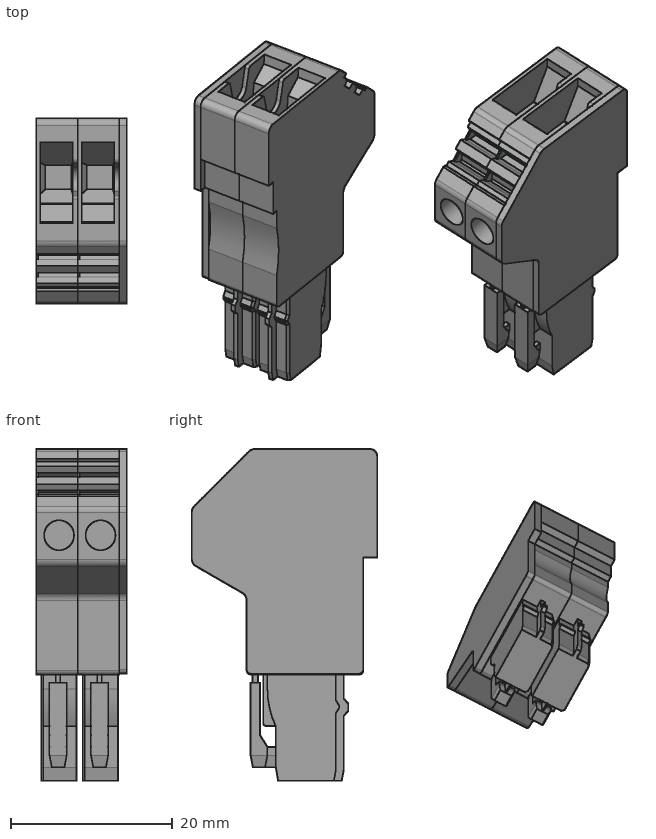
import cadquery as cq
import math


TOTAL_WIDTH = 11.2
TOTAL_DEPTH = 22.9
TOTAL_HEIGHT = 41.0
POLE_COUNT = 2
PITCH = 5.12
PLATE_WIDTH = TOTAL_WIDTH - POLE_COUNT * PITCH

CHAMFER = 7.4
FRONT_BOTTOM_Z = 26.8
NECK_FRONT_Y = 6.75
NECK_SLOPE = math.radians(30)
NECK_TOP_Z = FRONT_BOTTOM_Z - NECK_FRONT_Y * math.tan(NECK_SLOPE)
NECK_BACK_Y = 21.2
BACK_STEP_Z = 27.6
POLE_BOTTOM_Z = 13.1
PLATE_BOTTOM_Z = 13.25
FRONT_RADIUS = 1.02
BACK_RADIUS = 0.9
BOTTOM_RADIUS = 0.57

BACK_NOTCH_TOP_Z = 32.3
BACK_NOTCH_DEPTH = 0.95
HOLLOW_TOP_Z = 25.05
HOLLOW_BOTTOM_Z = 18.05
HOLLOW_DEPTH = 0.4

STRIP_START = 2.4
STRIP_END = 8.7
STRIP_DEPTH = 0.55
STRIP_LIP = 0.265
GROOVE_STARTS = (3.05, 6.1)
GROOVE_MOUTH = 1.8
GROOVE_FLOOR = 1.3
GROOVE_DEPTH = 1.4
POCKET_WALL = 0.265
POCKET_DEEP_POINTS = (
    ((4.35, 34.2), (4.6, 34.45), (4.6, 35.65)),
    ((6.15, 36.8), (7.18, 36.8), (7.6, 37.23)),
)

HOLE_DIAMETER = 3.7
HOLE_X = 2.83
HOLE_Z = 30.35
HOLE_DEPTH = 8.2

WINDOW_LEFT_X = 0.55
WINDOW_RIGHT_X = 4.5
WINDOW_FRONT_Y = 9.95
WINDOW_BACK_Y = 19.95
WINDOW_RIM = 1.3
LEDGE_FRONT_Y = 10.13
LEDGE_BACK_Y = 12.25
LEDGE_STEP_Y = 12.42
LEDGE_FALL = 1.6
FLOOR_LEFT_X = 1.15
FLOOR_RIGHT_X = 4.35
FLOOR_FRONT_Y = 14.15
FLOOR_BACK_Y = 17.1
BACK_SLOPE = math.radians(60)
WELL_DEPTH = 0.57
FLOOR_Z = TOTAL_HEIGHT - WINDOW_RIM - (WINDOW_BACK_Y - FLOOR_BACK_Y) * math.tan(BACK_SLOPE)

CUTOUT_Y = 15.38
CUTOUT_DEPTH = 3.9
CUTOUT_RADIUS = 1.5
CUTOUT_DRAFT = math.radians(13)
CUTOUT_LIP_RADIUS = 0.4

THIN_LEFT_X = 2.4
THIN_RIGHT_X = 3.0

LEG_LEFT_X = 0.6
LEG_RIGHT_X = 5.0
LEG_BEVEL = 0.3
LEG_FRONT_Y = 9.35
LEG_LOWER_FRONT_Y = 10.37
LEG_TIP_FRONT_Y = 10.65
LEG_BACK_Y = 17.8
LEG_BUMP_Y = 18.2
LEG_CURVE_TOP_Z = 11.4
LEG_CURVE_BOTTOM_Z = 6.75
LEG_FRONT_TAPER_Z = 1.7
BACK_TAPER = 0.25
BACK_TAPER_Z = 1.27
LEG_BUMP_LEVELS = (8.35, 9.0, 9.3, 9.95)
RAIL_BACK_Y = 18.78
RAIL_BUMP_Y = 19.35
RAIL_BUMP_LEVELS = (8.05, 8.65, 9.55, 10.15)

LATCH_LEFT_X = 1.65
LATCH_RIGHT_X = 3.77
LATCH_FRONT_Y = 7.25
LATCH_BACK_Y = 8.45
LATCH_TOP_Z = 12.15
LATCH_BOTTOM_Z = 1.7
LATCH_TAPER_Z = 3.2
LATCH_TAPER = 0.3
HOOK_BACK_Y = 9.35
HOOK_TOP_Z = 4.22
HOOK_SLOPE_TOP_Z = 5.65
STUB_FRONT_Y = 7.5
STUB_BACK_Y = 8.2
RIB_FRONT_Y = 8.8
RIB_RADIUS = 0.4
WEB_TAPER = 0.225


def box(x0, x1, y0, y1, z0, z1):
    return cq.Workplane("XY").box(x1 - x0, y1 - y0, z1 - z0, centered=False).translate((x0, y0, z0))


def side_prism(points, x0, x1):
    """Prism along X over a closed outline of (y, z) points."""
    return cq.Workplane("YZ").polyline(points).close().extrude(x1 - x0).translate((x0, 0, 0))


def slope_point(along, depth):
    """(y, z) of a point given along the 45 degree slope and square into it."""
    half = math.sqrt(0.5)
    return ((along + depth) * half, TOTAL_HEIGHT - CHAMFER + (along - depth) * half)


def housing_block(width, bottom_z):
    """Rounded side outline extruded along X from x = 0."""
    slope_top = (CHAMFER, TOTAL_HEIGHT)
    slope_bottom = (0, TOTAL_HEIGHT - CHAMFER)
    front_bottom = (0, FRONT_BOTTOM_Z)
    neck_top = (NECK_FRONT_Y, NECK_TOP_Z)
    neck_bottom = (NECK_FRONT_Y, bottom_z)
    back_bottom = (NECK_BACK_Y, bottom_z)
    back_top = (TOTAL_DEPTH, TOTAL_HEIGHT)
    outline = [
        slope_top,
        slope_bottom,
        front_bottom,
        neck_top,
        neck_bottom,
        back_bottom,
        (NECK_BACK_Y, BACK_STEP_Z),
        (TOTAL_DEPTH, BACK_STEP_Z),
        back_top,
    ]
    block = side_prism(outline, 0, width)
    roundings = [
        (FRONT_RADIUS, [slope_top, slope_bottom, front_bottom, neck_top]),
        (BACK_RADIUS, [back_top]),
        (BOTTOM_RADIUS, [neck_bottom, back_bottom]),
    ]
    for radius, corners in roundings:
        for y, z in corners:
            edge = cq.selectors.NearestToPointSelector((width / 2, y, z))
            block = block.edges(edge).fillet(radius)
    return block


def back_recesses():
    """Square notch in the upper back and shallow hollow in the neck."""
    notch = box(
        0, PITCH, TOTAL_DEPTH - BACK_NOTCH_DEPTH, TOTAL_DEPTH, BACK_STEP_Z, BACK_NOTCH_TOP_Z
    )
    hollow = (
        cq.Workplane("YZ")
        .moveTo(NECK_BACK_Y, HOLLOW_BOTTOM_Z)
        .threePointArc(
            (NECK_BACK_Y - HOLLOW_DEPTH, (HOLLOW_BOTTOM_Z + HOLLOW_TOP_Z) / 2),
            (NECK_BACK_Y, HOLLOW_TOP_Z),
        )
        .close()
        .extrude(PITCH)
    )
    return notch.union(hollow)


def grip_recess():
    """Sunk strip with its two grooves, running the whole width of the pole."""
    strip_corners = [
        (STRIP_START - STRIP_LIP, 0),
        (STRIP_START, STRIP_LIP),
        (STRIP_START, STRIP_DEPTH),
        (STRIP_END, STRIP_DEPTH),
        (STRIP_END, 0),
    ]
    recess = side_prism([slope_point(*corner) for corner in strip_corners], 0, PITCH)
    side = (GROOVE_MOUTH - GROOVE_FLOOR) / 2
    for start in GROOVE_STARTS:
        groove_corners = [
            (start, STRIP_DEPTH),
            (start + side, GROOVE_DEPTH),
            (start + side + GROOVE_FLOOR, GROOVE_DEPTH),
            (start + GROOVE_MOUTH, STRIP_DEPTH),
        ]
        recess = recess.union(side_prism([slope_point(*c) for c in groove_corners], 0, PITCH))
    return recess


def groove_pockets():
    """Pockets below the groove floors, reached through the grooves and open to the right."""
    side = (GROOVE_MOUTH - GROOVE_FLOOR) / 2
    pockets = cq.Workplane("YZ")
    for start, deep_points in zip(GROOVE_STARTS, POCKET_DEEP_POINTS):
        floor_start = start + side
        floor_end = floor_start + GROOVE_FLOOR
        outline = [
            slope_point(floor_start, STRIP_DEPTH),
            slope_point(floor_start, GROOVE_DEPTH),
            *deep_points,
            slope_point(floor_end, GROOVE_DEPTH),
            slope_point(floor_end, STRIP_DEPTH),
        ]
        pockets = pockets.add(side_prism(outline, POCKET_WALL, PITCH))
    return pockets.combine()


def wire_hole():
    """Blind round hole in the front face."""
    return cq.Workplane("XZ").center(HOLE_X, HOLE_Z).circle(HOLE_DIAMETER / 2).extrude(-HOLE_DEPTH)


def window():
    """Stepped funnel open at the top, ending in a small well with sloping sides."""
    rim_z = TOTAL_HEIGHT - WINDOW_RIM
    well_z = FLOOR_Z + WELL_DEPTH
    well_front_y = FLOOR_FRONT_Y - WELL_DEPTH
    well_back_y = FLOOR_BACK_Y + WELL_DEPTH / math.tan(BACK_SLOPE)
    outline = [
        (WINDOW_FRONT_Y, TOTAL_HEIGHT),
        (LEDGE_FRONT_Y, rim_z),
        (LEDGE_BACK_Y, rim_z - LEDGE_FALL),
        (LEDGE_STEP_Y, FLOOR_Z + FLOOR_FRONT_Y - LEDGE_STEP_Y),
        (well_front_y, well_z),
        (well_back_y, well_z),
        (WINDOW_BACK_Y, rim_z),
        (WINDOW_BACK_Y, TOTAL_HEIGHT),
    ]
    funnel = side_prism(outline, WINDOW_LEFT_X, WINDOW_RIGHT_X)
    floor_width = FLOOR_RIGHT_X - FLOOR_LEFT_X
    floor_depth = FLOOR_BACK_Y - FLOOR_FRONT_Y
    well_width = WINDOW_RIGHT_X - WINDOW_LEFT_X
    well_depth = well_back_y - well_front_y
    floor_centre = (FLOOR_LEFT_X + floor_width / 2, FLOOR_FRONT_Y + floor_depth / 2)
    well_centre = (WINDOW_LEFT_X + well_width / 2, well_front_y + well_depth / 2)
    well = (
        cq.Workplane("XY", origin=(0, 0, FLOOR_Z))
        .center(*floor_centre)
        .rect(floor_width, floor_depth)
        .workplane(offset=WELL_DEPTH)
        .center(well_centre[0] - floor_centre[0], well_centre[1] - floor_centre[1])
        .rect(well_width, well_depth)
        .loft(ruled=True)
    )
    return funnel.union(well)


def wall_cutout():
    """U-shaped cut-out with drafted sides and rounded lips, through the wall right of the window."""
    centre_z = TOTAL_HEIGHT - CUTOUT_DEPTH + CUTOUT_RADIUS
    arc_y = CUTOUT_RADIUS * math.cos(CUTOUT_DRAFT)
    arc_z = centre_z - CUTOUT_RADIUS * math.sin(CUTOUT_DRAFT)
    mouth = arc_y + (TOTAL_HEIGHT - arc_z) * math.tan(CUTOUT_DRAFT)
    setback = CUTOUT_LIP_RADIUS * math.tan((math.pi / 2 - CUTOUT_DRAFT) / 2)
    lip_y = mouth - setback * math.sin(CUTOUT_DRAFT)
    lip_z = TOTAL_HEIGHT - setback * math.cos(CUTOUT_DRAFT)
    lip_centre = (mouth + setback, TOTAL_HEIGHT - CUTOUT_LIP_RADIUS)
    lip_angle = (math.pi / 2 - CUTOUT_DRAFT) / 2 + CUTOUT_DRAFT
    lip_mid_y = lip_centre[0] - CUTOUT_LIP_RADIUS * math.cos(lip_angle)
    lip_mid_z = lip_centre[1] + CUTOUT_LIP_RADIUS * math.sin(lip_angle)
    return (
        cq.Workplane("YZ", origin=(WINDOW_RIGHT_X, CUTOUT_Y, 0))
        .moveTo(-mouth - setback, TOTAL_HEIGHT)
        .threePointArc((-lip_mid_y, lip_mid_z), (-lip_y, lip_z))
        .lineTo(-arc_y, arc_z)
        .threePointArc((0, centre_z - CUTOUT_RADIUS), (arc_y, arc_z))
        .lineTo(lip_y, lip_z)
        .threePointArc((lip_mid_y, lip_mid_z), (mouth + setback, TOTAL_HEIGHT))
        .close()
        .extrude(PITCH - WINDOW_RIGHT_X)
    )


def bumped_back(back_y, bump_y, levels):
    """(y, z) points of a back edge from the tip upwards: tapered tip, then a snap bump."""
    foot_z, crest_low_z, crest_high_z, head_z = levels
    return [
        (back_y - BACK_TAPER, 0),
        (back_y, BACK_TAPER_Z),
        (back_y, foot_z),
        (bump_y, crest_low_z),
        (bump_y, crest_high_z),
        (back_y, head_z),
        (back_y, POLE_BOTTOM_Z),
    ]


def leg():
    """Plug leg with a curved front, bevelled along the front and back of its left side."""
    curve_height = LEG_CURVE_TOP_Z - LEG_CURVE_BOTTOM_Z
    sweep = 2 * math.atan((LEG_LOWER_FRONT_Y - LEG_FRONT_Y) / curve_height)
    radius = curve_height / math.sin(sweep)
    curve_middle = (
        LEG_FRONT_Y + radius * (1 - math.cos(sweep / 2)),
        LEG_CURVE_TOP_Z - radius * math.sin(sweep / 2),
    )
    outline = (
        cq.Workplane("YZ")
        .moveTo(LEG_FRONT_Y, POLE_BOTTOM_Z)
        .lineTo(LEG_FRONT_Y, LEG_CURVE_TOP_Z)
        .threePointArc(curve_middle, (LEG_LOWER_FRONT_Y, LEG_CURVE_BOTTOM_Z))
        .lineTo(LEG_LOWER_FRONT_Y, LEG_FRONT_TAPER_Z)
        .lineTo(LEG_TIP_FRONT_Y, 0)
    )
    for point in bumped_back(LEG_BACK_Y, LEG_BUMP_Y, LEG_BUMP_LEVELS):
        outline = outline.lineTo(*point)
    body = outline.close().extrude(LEG_RIGHT_X - LEG_LEFT_X)
    return body.faces("<X").edges("not |Y").chamfer(LEG_BEVEL).translate((LEG_LEFT_X, 0, 0))


def snap_rail():
    """Narrow rail along the back of the leg, carrying its own snap bump."""
    inner_y = LEG_BACK_Y - LEG_BEVEL
    outline = [(inner_y, POLE_BOTTOM_Z), (inner_y, 0)]
    outline += bumped_back(RAIL_BACK_Y, RAIL_BUMP_Y, RAIL_BUMP_LEVELS)
    return side_prism(outline, THIN_LEFT_X, THIN_RIGHT_X)


def tapered_end(x0, x1, y0, y1, inset_x, inset_y):
    """Block below the taper line of the latch, narrowing by the insets towards its lower end."""
    return (
        cq.Workplane("XY", origin=((x0 + x1) / 2, (y0 + y1) / 2, LATCH_TAPER_Z))
        .rect(x1 - x0, y1 - y0)
        .workplane(offset=LATCH_BOTTOM_Z - LATCH_TAPER_Z)
        .rect(x1 - x0 - 2 * inset_x, y1 - y0 - 2 * inset_y)
        .loft(ruled=True)
    )


def latch():
    """Latch bar hanging on a stub, with its hook tied to the leg by a web."""
    bar_outline = [
        (LATCH_FRONT_Y, LATCH_TOP_Z),
        (LATCH_FRONT_Y, LATCH_TAPER_Z),
        (HOOK_BACK_Y, LATCH_TAPER_Z),
        (HOOK_BACK_Y, HOOK_TOP_Z),
        (LATCH_BACK_Y, HOOK_SLOPE_TOP_Z),
        (LATCH_BACK_Y, LATCH_TOP_Z),
    ]
    bar = side_prism(bar_outline, LATCH_LEFT_X, LATCH_RIGHT_X)
    bar_end = tapered_end(
        LATCH_LEFT_X, LATCH_RIGHT_X, LATCH_FRONT_Y, HOOK_BACK_Y, LATCH_TAPER, LATCH_TAPER
    )
    stub = box(THIN_LEFT_X, THIN_RIGHT_X, STUB_FRONT_Y, STUB_BACK_Y, LATCH_TOP_Z, POLE_BOTTOM_Z)
    web_sides = (THIN_LEFT_X, THIN_RIGHT_X, LATCH_BACK_Y, LEG_LOWER_FRONT_Y)
    web = box(*web_sides, LATCH_TAPER_Z, HOOK_TOP_Z)
    web_end = tapered_end(*web_sides, WEB_TAPER, 0)
    return bar.union(bar_end).union(stub).union(web).union(web_end)


def rib():
    """Upright rib on the front of the leg, behind the latch."""
    outline = [
        (RIB_FRONT_Y, POLE_BOTTOM_Z),
        (RIB_FRONT_Y, LEG_CURVE_BOTTOM_Z),
        (LEG_LOWER_FRONT_Y, LEG_CURVE_BOTTOM_Z),
        (LEG_LOWER_FRONT_Y, POLE_BOTTOM_Z),
    ]
    plain = side_prism(outline, THIN_LEFT_X, THIN_RIGHT_X)
    return plain.edges("|X and <Y and <Z").fillet(RIB_RADIUS)


def make_pole():
    """One connector pole: housing section with its plug leg and latch."""
    cuts = [back_recesses(), grip_recess(), groove_pockets(), wire_hole(), window(), wall_cutout()]
    pole = housing_block(PITCH, POLE_BOTTOM_Z)
    for cut in cuts:
        pole = pole.cut(cut)
    for addition in (leg(), snap_rail(), rib(), latch()):
        pole = pole.union(addition)
    return pole


def make_end_plate():
    """Plain cover plate that closes the open side of the last pole."""
    return housing_block(PLATE_WIDTH, PLATE_BOTTOM_Z).translate((POLE_COUNT * PITCH, 0, 0))


pole = make_pole()
poles = [pole.translate((index * PITCH, 0, 0)) for index in range(POLE_COUNT)]
end_plate = make_end_plate()

result = cq.Compound.makeCompound([*[item.val() for item in poles], end_plate.val()])